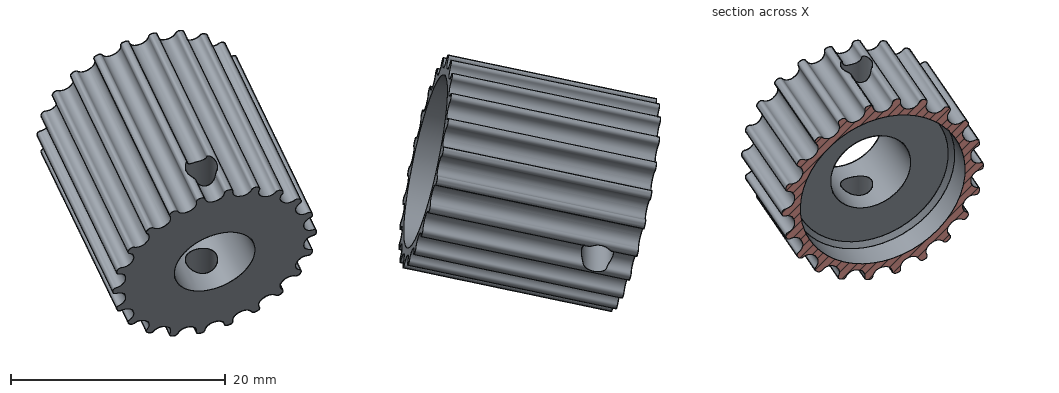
import cadquery as cq
import math

length = 20.0
tooth_count = 22
tip_radius = 10.12
root_radius = 8.97
root_flat_width = 0.16
flank_radius = 0.9
tip_round_radius = 0.35

recess_depth = 13.0
recess_radius = 8.25
recess_floor_radius = 7.78
cone_depth = recess_radius - recess_floor_radius

shaft_bore_radius = 4.0
screw_hole_diameter = 3.0
screw_hole_x = (recess_depth + length) / 2

pitch_angle = 2 * math.pi / tooth_count

flank_center = cq.Vector(root_radius + flank_radius, root_flat_width / 2)
flank_center_angle = math.atan2(flank_center.y, flank_center.x)
round_center_radius = tip_radius - tip_round_radius
center_distance = flank_radius + tip_round_radius
round_angle = flank_center_angle + math.acos(
    (flank_center.Length**2 + round_center_radius**2 - center_distance**2)
    / (2 * flank_center.Length * round_center_radius)
)


def polar(radius, angle):
    return cq.Vector(radius * math.cos(angle), radius * math.sin(angle))


def arc_middle(center, start, end, radius):
    """Middle point of the short arc from start to end."""
    direction = (start + end) * 0.5 - center
    return center + direction.normalized() * radius


def groove_side():
    """Half of a groove centred on the first axis, from its flat root to the tip circle.

    The points are arc ends alternating with the middle points of the arcs between them.
    """
    round_center = polar(round_center_radius, round_angle)
    root_end = cq.Vector(root_radius, root_flat_width / 2)
    flank_end = flank_center + (round_center - flank_center) * (flank_radius / center_distance)
    tip_start = polar(tip_radius, round_angle)
    flank_middle = arc_middle(flank_center, root_end, flank_end, flank_radius)
    round_middle = arc_middle(round_center, flank_end, tip_start, tip_round_radius)
    return [root_end, flank_middle, flank_end, round_middle, tip_start]


def placed(point, groove):
    """Turn a point of the groove on the first axis to its place in the numbered groove."""
    angle = math.atan2(point.y, point.x) + (groove + 0.5) * pitch_angle
    turned = polar(point.Length, angle)
    return (turned.x, turned.y)


def toothed_body():
    """Straight extrusion of the tooth outline, going counterclockwise groove by groove."""
    rising_side = groove_side()
    falling_side = [cq.Vector(point.x, -point.y) for point in reversed(rising_side)]
    tooth_crest = polar(tip_radius, pitch_angle / 2)

    outline = cq.Workplane("YZ").moveTo(*placed(falling_side[0], 0))
    for groove in range(tooth_count):
        fall = [placed(point, groove) for point in falling_side]
        rise = [placed(point, groove) for point in rising_side]
        next_fall_start = placed(falling_side[0], groove + 1)
        outline = (
            outline.threePointArc(fall[1], fall[2])
            .threePointArc(fall[3], fall[4])
            .lineTo(*rise[0])
            .threePointArc(rise[1], rise[2])
            .threePointArc(rise[3], rise[4])
            .threePointArc(placed(tooth_crest, groove), next_fall_start)
        )
    return outline.close().extrude(length)


def recess():
    half_section = [
        (0, 0),
        (0, -recess_radius),
        (recess_depth - cone_depth, -recess_radius),
        (recess_depth, -recess_floor_radius),
        (recess_depth, 0),
    ]
    return cq.Workplane("XZ").polyline(half_section).close().revolve(360, (0, 0), (1, 0))


def shaft_bore():
    return cq.Workplane("YZ").circle(shaft_bore_radius).extrude(length)


def screw_hole():
    """Cross hole through both sides of the hub."""
    return (
        cq.Workplane("XY")
        .center(screw_hole_x, 0)
        .circle(screw_hole_diameter / 2)
        .extrude(tip_radius, both=True)
    )


result = toothed_body().cut(recess()).cut(shaft_bore()).cut(screw_hole())